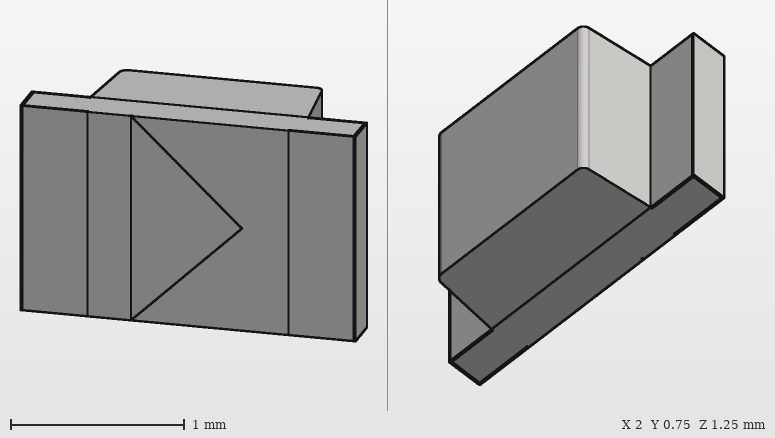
import cadquery as cq

length = 2.0
width = 1.25
depth = 0.75
board_depth = 0.25
plating = 0.012

lens_base_length = 1.3
lens_tip_length = 1.2
lens_corner_radius = 0.05

mark_base_x = -0.341
mark_tip_x = 0.322
mark_depth = plating

end_x = -length / 2
front_y = -depth / 2
board_back_y = front_y + board_depth
lens_back_y = depth / 2

front_pad_reach = 0.4
back_pad_reach = (length - lens_base_length) / 2


def full_width_block(x_start, x_end, y_start, y_end):
    """Block between the given X and Y limits, as wide as the package."""
    return (
        cq.Workplane("XY")
        .box(x_end - x_start, y_end - y_start, width, centered=(False, False, True))
        .translate((x_start, y_start, 0))
    )


def at_both_ends(body):
    """The body and its mirror copy at the +X end, as two separate solids."""
    return [body.val(), body.mirror("YZ").val()]


pad_start_x = end_x + plating

end_plates = at_both_ends(
    full_width_block(end_x, pad_start_x, front_y, board_back_y)
)
front_pads = at_both_ends(
    full_width_block(pad_start_x, end_x + front_pad_reach, front_y, front_y + plating)
)
back_pads = at_both_ends(
    full_width_block(pad_start_x, end_x + back_pad_reach, board_back_y - plating, board_back_y)
)

mark = (
    cq.Workplane("XZ", origin=(0, front_y, 0))
    .moveTo(mark_base_x, -width / 2)
    .lineTo(mark_tip_x, 0)
    .lineTo(mark_base_x, width / 2)
    .close()
    .extrude(-mark_depth)
)

board = full_width_block(-length / 2, length / 2, front_y, board_back_y)
for inset in [mark.val(), *end_plates, *front_pads, *back_pads]:
    board = board.cut(cq.Workplane(inset))

lens = (
    cq.Workplane("XY", origin=(0, 0, -width / 2))
    .moveTo(-lens_base_length / 2, board_back_y)
    .lineTo(lens_base_length / 2, board_back_y)
    .lineTo(lens_tip_length / 2, lens_back_y)
    .lineTo(-lens_tip_length / 2, lens_back_y)
    .close()
    .extrude(width)
    .edges("|Z and >Y")
    .fillet(lens_corner_radius)
)

result = cq.Compound.makeCompound(
    [board.val(), lens.val(), mark.val(), *end_plates, *front_pads, *back_pads]
)